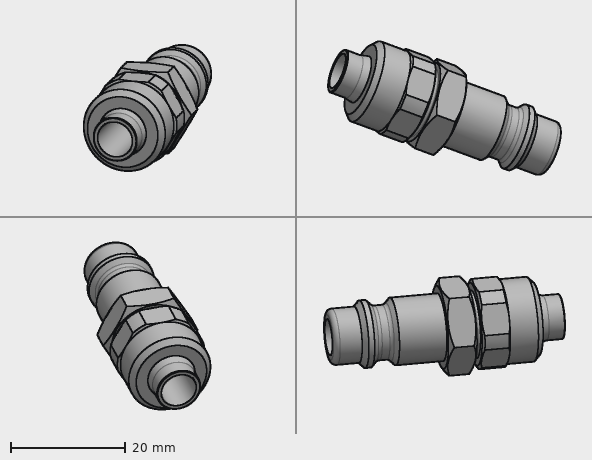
import cadquery as cq
import math

length = 41.5
bore_radius = 3.2

tube_radius = 4.0
tip_chamfer = 0.12
flare_start = 2.95
flare_radius = 4.3
flare_bulge = 0.05

across_flats = 15.0
cap_start = 4.5
cap_radius = across_flats / 2
cap_chamfer = 1.05
cap_hex_start = 10.55
cap_hex_end = 15.55
cap_hex_radius = 7.95
cap_hex_end_radius = 7.3

body_hex_start = 16.48
body_hex_end = 21.6
body_hex_face_radius = 7.3
hex_corner_radius = across_flats / math.sqrt(3)
hex_chamfer_angle = math.radians(30)

shank_radius = 5.98
shank_root_fillet = 0.4
shank_end = 30.05
groove_radius = 4.85
groove_fillet = 1.0
collar_start = 34.5
collar_end = 35.52
nose_start = 36.5
nose_radius = 5.0
nose_fillet = 1.0
groove_depth = shank_radius - groove_radius
groove_start = shank_end + groove_depth
groove_end = collar_start - groove_depth


def revolve_profile(sketch):
    """Turn a (radius, position) half profile around the Y axis."""
    return sketch.close().revolve(360, (0, 0, 0), (0, 1, 0))


def chamfer_length(face_radius, outer_radius):
    """Axial length of a 30 degree turned chamfer."""
    return (outer_radius - face_radius) * math.tan(hex_chamfer_angle)


def turned_hexagon(start, end, start_radius, end_radius, outer_radius):
    """Hexagon with flats at top and bottom, trimmed by a chamfered round blank."""
    prism = (
        cq.Workplane("XZ", origin=(0, start, 0))
        .polygon(6, 2 * hex_corner_radius)
        .extrude(start - end)
    )
    blank = revolve_profile(
        cq.Workplane("XY")
        .moveTo(0, start)
        .lineTo(start_radius, start)
        .lineTo(outer_radius, start + chamfer_length(start_radius, outer_radius))
        .lineTo(outer_radius, end - chamfer_length(end_radius, outer_radius))
        .lineTo(end_radius, end)
        .lineTo(0, end)
    )
    return prism.intersect(blank)


def tube_and_cap():
    """Tube tip, flared root and the round part of the cap nut."""
    flare_middle = ((tube_radius + flare_radius) / 2 + flare_bulge, (flare_start + cap_start) / 2)
    return revolve_profile(
        cq.Workplane("XY")
        .lineTo(tube_radius - tip_chamfer, 0)
        .lineTo(tube_radius, tip_chamfer)
        .lineTo(tube_radius, flare_start)
        .threePointArc(flare_middle, (flare_radius, cap_start))
        .lineTo(cap_radius - cap_chamfer, cap_start)
        .lineTo(cap_radius, cap_start + cap_chamfer)
        .lineTo(cap_radius, cap_hex_start)
        .lineTo(0, cap_hex_start)
    )


def plug():
    """Shank with the snap groove, collar and rounded nose."""
    tangent = groove_fillet * math.tan(math.pi / 8)
    diagonal = tangent * math.sqrt(0.5)
    return revolve_profile(
        cq.Workplane("XY")
        .moveTo(0, cap_hex_start)
        .lineTo(shank_radius, cap_hex_start)
        .lineTo(shank_radius, body_hex_start - shank_root_fillet)
        .radiusArc((shank_radius + shank_root_fillet, body_hex_start), shank_root_fillet)
        .lineTo(shank_radius, body_hex_start)
        .lineTo(shank_radius, shank_end)
        .lineTo(groove_radius + diagonal, groove_start - diagonal)
        .radiusArc((groove_radius, groove_start + tangent), groove_fillet)
        .lineTo(groove_radius, groove_end - tangent)
        .radiusArc((groove_radius + diagonal, groove_end + diagonal), groove_fillet)
        .lineTo(shank_radius, collar_start)
        .lineTo(shank_radius, collar_end)
        .lineTo(nose_radius, nose_start)
        .lineTo(nose_radius, length - nose_fillet)
        .radiusArc((nose_radius - nose_fillet, length), -nose_fillet)
        .lineTo(0, length)
    )


cap_hexagon = turned_hexagon(
    cap_hex_start, cap_hex_end, cap_radius, cap_hex_end_radius, cap_hex_radius
)
body_hexagon = turned_hexagon(
    body_hex_start, body_hex_end, body_hex_face_radius, body_hex_face_radius, hex_corner_radius
)
bore = cq.Workplane("XZ").circle(bore_radius).extrude(-length)

fitting = tube_and_cap().union(cap_hexagon).union(plug()).union(body_hexagon).cut(bore)
result = fitting.translate((0, -length / 2, 0))